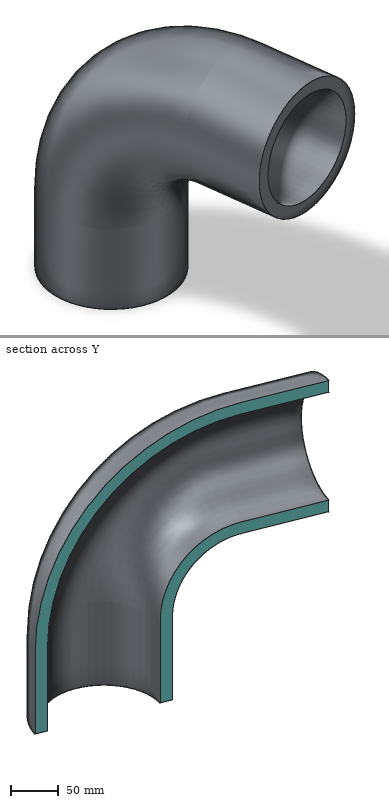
import cadquery as cq

overall_length = 341.5
outer_diameter = 160.0
bore_diameter = 130.8

bend_radius = outer_diameter
leg_length = overall_length - bend_radius - outer_diameter / 2
bend_angle = 90


def pipe_section(workplane):
    """Draw the ring-shaped cross-section of the pipe."""
    return workplane.circle(outer_diameter / 2).circle(bore_diameter / 2)


vertical_leg = pipe_section(cq.Workplane("XY")).extrude(leg_length)

bend = pipe_section(cq.Workplane("XY").workplane(offset=leg_length)).revolve(
    bend_angle, (bend_radius, 0), (bend_radius, 1)
)

bend_end = (bend_radius, 0, leg_length + bend_radius)
horizontal_leg = pipe_section(cq.Workplane("YZ", origin=bend_end)).extrude(leg_length)

result = vertical_leg.union(bend).union(horizontal_leg)